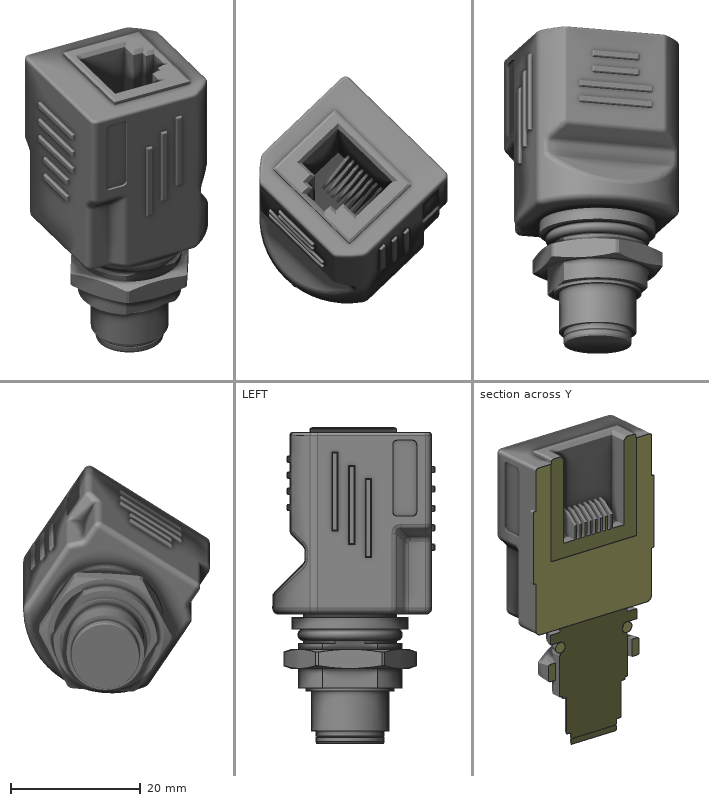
import cadquery as cq
import math


CLEARANCE = 0.5
SMALL = 0.05

HOUSING_WIDTH = 23.0
HOUSING_FRONT = -12.6
HOUSING_BOTTOM = 20.0
HOUSING_TOP = 48.1
BACK_RADIUS = 13.65
BACK_END = 11.95
BACK_FACE = 9.3
EDGE_FILLET = 1.0
TOP_FILLET = 0.5
SHOULDER_FILLET = 2.0
SHOULDER_HALF = HOUSING_WIDTH / 2
BACK_CENTRE = BACK_END - BACK_RADIUS
SHOULDER_Y = BACK_CENTRE + math.sqrt(BACK_RADIUS**2 - SHOULDER_HALF**2)

DIP_FLOOR = 7.0
DIP_FLOOR_BOTTOM = 28.05
DIP_FLOOR_TOP = 30.25

NOTCH_DEPTH = 1.75
NOTCH_BACK = -6.9
NOTCH_TOP = 33.45

LABEL_DEPTH = 0.4
LABEL_WIDTH = 3.7
LABEL_HEIGHT = 11.7
LABEL_RADIUS = 0.7
LABEL_Y = -8.45
LABEL_Z = 41.05

RIB_WIDTH = 1.0
RIB_HEIGHT = 0.5
RIB_CHAMFER = 0.15
RIB_ROOT = 0.25
FRONT_RIBS = [11.25, 11.25, 11.25, 7.65, 7.65]
FRONT_RIB_TOP_Z = 42.35
FRONT_RIB_SPAN = 12.0
FRONT_RIB_PITCH = FRONT_RIB_SPAN / (len(FRONT_RIBS) - 1)
BACK_RIBS = [7.55, 7.55, 11.8, 11.8]
BACK_RIB_TOP_Z = 43.95
BACK_RIB_PITCH = 2.5
SIDE_RIB = 12.2
SIDE_RIB_COUNT = 3
SIDE_RIB_TOP_Y = 2.35
SIDE_RIB_PITCH = 2.6
SIDE_RIB_TOP_Z = 38.95
SIDE_RIB_TOTAL_DROP = 4.05
SIDE_RIB_DROP = SIDE_RIB_TOTAL_DROP / (SIDE_RIB_COUNT - 1)

JACK_WIDTH = 16.8
JACK_FRONT = -7.2
JACK_BACK = 6.2
JACK_TOP = 48.85
JACK_BOTTOM = 31.75
JACK_CHAMFER_WIDTH = 0.365
JACK_CHAMFER_HEIGHT = 0.2
SOCKET_FLOOR = 34.2
SOCKET_FRONT = -5.5
SOCKET_STEPS = [(5.95, 2.35), (3.15, 3.95), (1.95, 5.32)]
MOUTH_WIDTH = 0.55
MOUTH_DEPTH = 0.6
CONTACT_COUNT = 8
CONTACT_SPAN = 7.15
CONTACT_PITCH = CONTACT_SPAN / (CONTACT_COUNT - 1)
CONTACT_WIDTH = 0.45
CONTACT_BACK = 0.3
CONTACT_BEND = -4.6
CONTACT_SHOULDER = -5.25
CONTACT_RISE = 3.9
CONTACT_TIP_RISE = 0.3

FLANGE_RADIUS = 9.0
FLANGE_TOP = 19.45
FLANGE_BOTTOM = 17.7
NECK_RADIUS = 7.2
THREAD_RADIUS = 8.0
THREAD_TOP = 15.5
THREAD_BOTTOM = 8.55
FLAT_HALF = 6.8
STEP_BOTTOM = 8.1
PLUG_RADIUS = 6.0
PLUG_BOTTOM = 1.95
TIP_RADIUS = 5.3
TIP_BOTTOM = 0.95
TIP_CHAMFER = 0.25

CARRIER_CHAMFER = 0.3
CARRIER_CHAMFER_WIDTH = 0.1
SEAL_SECTION_RADIUS = 0.9
SEAL_RADIUS = 7.2
SEAL_Z = FLANGE_BOTTOM - SEAL_SECTION_RADIUS
NUT_TOP = 14.55
NUT_BOTTOM = 11.6
NUT_FLATS = 18.05
NUT_CORNER_RADIUS = 10.25
NUT_CHAMFER = 0.45
NUT_FACE_RADIUS = 9.0


def cylinder(radius, bottom, top):
    return cq.Workplane("XY").workplane(offset=bottom).circle(radius).extrude(top - bottom)


def block(x_range, y_range, z_range):
    sizes = [high - low for low, high in (x_range, y_range, z_range)]
    return cq.Workplane("XY").box(*sizes, centered=False).translate((x_range[0], y_range[0], z_range[0]))


def finger_dip():
    """Everything behind the back face and its sunken finger dip."""
    beyond = BACK_END + CLEARANCE
    upper_run = BACK_FACE - DIP_FLOOR
    lower_run = beyond - DIP_FLOOR
    profile = [
        (beyond, HOUSING_TOP),
        (BACK_FACE, HOUSING_TOP),
        (BACK_FACE, DIP_FLOOR_TOP + upper_run),
        (DIP_FLOOR, DIP_FLOOR_TOP),
        (DIP_FLOOR, DIP_FLOOR_BOTTOM),
        (beyond, DIP_FLOOR_BOTTOM - lower_run),
    ]
    cut = cq.Workplane("YZ").polyline(profile).close().extrude(SHOULDER_HALF, both=True)
    bends = cq.selectors.BoxSelector(
        (-SMALL, DIP_FLOOR - SMALL, DIP_FLOOR_BOTTOM - SMALL),
        (SMALL, BACK_FACE + SMALL, HOUSING_TOP - SMALL),
    )
    return cut.edges("|X").edges(bends).fillet(EDGE_FILLET)


def corner_notch():
    """Notch for the -X front corner; its back wall and its roof slope at 45 degrees."""
    outer = -SHOULDER_HALF
    inner = outer + NOTCH_DEPTH
    plan = [
        (outer, NOTCH_BACK),
        (inner, NOTCH_BACK - NOTCH_DEPTH),
        (inner, HOUSING_FRONT),
        (outer, HOUSING_FRONT),
    ]
    elevation = [
        (outer, NOTCH_TOP),
        (inner, NOTCH_TOP - NOTCH_DEPTH),
        (inner, HOUSING_BOTTOM),
        (outer, HOUSING_BOTTOM),
    ]
    column = cq.Workplane("XY").workplane(offset=HOUSING_BOTTOM).polyline(plan).close()
    column = column.extrude(NOTCH_TOP - HOUSING_BOTTOM)
    beam = cq.Workplane("XZ").workplane(offset=-NOTCH_BACK).polyline(elevation).close()
    beam = beam.extrude(NOTCH_BACK - HOUSING_FRONT)
    return column.intersect(beam)


def housing_block():
    body = (
        cq.Workplane("XY")
        .workplane(offset=HOUSING_BOTTOM)
        .moveTo(-SHOULDER_HALF, HOUSING_FRONT)
        .lineTo(SHOULDER_HALF, HOUSING_FRONT)
        .lineTo(SHOULDER_HALF, SHOULDER_Y)
        .threePointArc((0, BACK_END), (-SHOULDER_HALF, SHOULDER_Y))
        .close()
        .extrude(HOUSING_TOP - HOUSING_BOTTOM)
    )
    return body.edges("|Z").edges(">Y").fillet(SHOULDER_FILLET)


def is_mitre(edge):
    box = edge.BoundingBox()
    return min(box.xlen, box.ylen, box.zlen) > NOTCH_DEPTH / 2


def faces_sideways(edge):
    return edge.BoundingBox().xlen < SMALL


def is_dip_outline(edge):
    """Edge between the curved back and the faces of the finger dip."""
    box = edge.BoundingBox()
    return box.ymin > DIP_FLOOR - SMALL and (box.zlen > box.xlen or edge.geomType() != "LINE")


def round_housing(body):
    """Fillet the notches first, then the front corners, the two ends and the finger dip."""
    notch_region = cq.selectors.BoxSelector(
        (-SHOULDER_HALF - SMALL, HOUSING_FRONT + SMALL, HOUSING_BOTTOM + SMALL),
        (SHOULDER_HALF + SMALL, NOTCH_BACK + SMALL, NOTCH_TOP + SMALL),
    )
    body = body.edges(notch_region).filter(is_mitre).fillet(EDGE_FILLET)
    body = body.edges(notch_region).filter(faces_sideways).fillet(EDGE_FILLET)
    body = body.faces("<Y").edges("not |X").fillet(EDGE_FILLET)
    body = body.faces("<Z").edges().fillet(EDGE_FILLET)
    body = body.faces(">Z").edges().fillet(TOP_FILLET)
    return body.edges().filter(is_dip_outline).fillet(EDGE_FILLET)


def rib(length, along, outward, centre):
    """Chamfered rib at a wall point, rooted slightly inside the wall."""
    plane = cq.Plane(origin=centre, xDir=along, normal=outward)
    bar = cq.Workplane(plane).workplane(offset=-RIB_ROOT).rect(length, RIB_WIDTH)
    bar = bar.extrude(RIB_ROOT + RIB_HEIGHT)
    return bar.faces(cq.selectors.DirectionMinMaxSelector(cq.Vector(outward))).edges().chamfer(RIB_CHAMFER)


def grip_ribs():
    ribs = []
    for row, length in enumerate(FRONT_RIBS):
        z = FRONT_RIB_TOP_Z - row * FRONT_RIB_PITCH
        ribs.append(rib(length, (1, 0, 0), (0, -1, 0), (0, HOUSING_FRONT, z)))
    for row, length in enumerate(BACK_RIBS):
        z = BACK_RIB_TOP_Z - row * BACK_RIB_PITCH
        ribs.append(rib(length, (1, 0, 0), (0, 1, 0), (0, BACK_FACE, z)))
    for side in (-1, 1):
        for row in range(SIDE_RIB_COUNT):
            y = SIDE_RIB_TOP_Y - row * SIDE_RIB_PITCH
            z = SIDE_RIB_TOP_Z - row * SIDE_RIB_DROP
            ribs.append(rib(SIDE_RIB, (0, 0, 1), (side, 0, 0), (side * SHOULDER_HALF, y, z)))
    return ribs


def label_recess(side):
    """Shallow rounded pocket in the -X or +X wall."""
    wall = cq.Workplane("YZ", origin=(side * SHOULDER_HALF, LABEL_Y, LABEL_Z))
    pocket = wall.rect(LABEL_WIDTH, LABEL_HEIGHT).extrude(LABEL_DEPTH, both=True)
    return pocket.edges("|X").fillet(LABEL_RADIUS)


def jack_block():
    return block(
        (-JACK_WIDTH / 2, JACK_WIDTH / 2),
        (JACK_FRONT, JACK_BACK),
        (JACK_BOTTOM, JACK_TOP),
    )


def make_housing():
    notch = corner_notch()
    body = housing_block().cut(finger_dip()).cut(notch).cut(notch.mirror("YZ"))
    body = round_housing(body)
    for bar in grip_ribs():
        body = body.union(bar)
    for side in (-1, 1):
        body = body.cut(label_recess(side))
    return body.cut(jack_block())


def socket_wire(z, margin):
    """Stepped outline of the plug opening, widened on every side by the margin."""
    corners = [(SOCKET_STEPS[0][0] + margin, SOCKET_FRONT - margin)]
    for step, (half_width, back) in enumerate(SOCKET_STEPS):
        if step > 0:
            corners.append((half_width + margin, SOCKET_STEPS[step - 1][1] + margin))
        corners.append((half_width + margin, back + margin))
    mirrored = [(-x, y) for x, y in reversed(corners)]
    return cq.Wire.makePolygon([cq.Vector(x, y, z) for x, y in corners + mirrored], close=True)


def socket_cut(bottom, top, flare):
    """Cut that widens by the flare on every side between its bottom and its top."""
    return cq.Workplane(cq.Solid.makeLoft([socket_wire(bottom, 0), socket_wire(top, flare)], True))


def contact_ribs():
    """Wedge contacts that fall from the front wall of the socket to its floor."""
    shoulder_z = SOCKET_FLOOR + CONTACT_RISE
    profile = [
        (SOCKET_FRONT, SOCKET_FLOOR),
        (SOCKET_FRONT, shoulder_z + CONTACT_TIP_RISE),
        (CONTACT_SHOULDER, shoulder_z + CONTACT_TIP_RISE / 2),
        (CONTACT_BEND, shoulder_z),
        (CONTACT_BACK, SOCKET_FLOOR),
    ]
    first_x = -CONTACT_SPAN / 2
    for index in range(CONTACT_COUNT):
        wedge = cq.Workplane("YZ").polyline(profile).close().extrude(CONTACT_WIDTH / 2, both=True)
        yield wedge.translate((first_x + index * CONTACT_PITCH, 0, 0))


def make_jack():
    body = jack_block().faces(">Z").edges().chamfer(JACK_CHAMFER_HEIGHT, JACK_CHAMFER_WIDTH)
    body = body.cut(socket_cut(SOCKET_FLOOR, JACK_TOP, 0))
    body = body.cut(socket_cut(JACK_TOP - MOUTH_DEPTH, JACK_TOP, MOUTH_WIDTH))
    for wedge in contact_ribs():
        body = body.union(wedge)
    return body


def make_seal():
    return cq.Workplane(cq.Solid.makeTorus(SEAL_RADIUS, SEAL_SECTION_RADIUS, cq.Vector(0, 0, SEAL_Z)))


def make_shell():
    """Turned shell with two flats on its thread and a groove for the seal."""
    thread = cylinder(THREAD_RADIUS, THREAD_BOTTOM, THREAD_TOP)
    thread = thread.union(cylinder(NECK_RADIUS, THREAD_TOP, FLANGE_BOTTOM))
    thread = thread.intersect(block(
        (-FLAT_HALF, FLAT_HALF),
        (-THREAD_RADIUS, THREAD_RADIUS),
        (THREAD_BOTTOM, FLANGE_BOTTOM),
    ))
    tip = cylinder(TIP_RADIUS, TIP_BOTTOM, PLUG_BOTTOM).faces("<Z").chamfer(TIP_CHAMFER)
    return (
        thread.union(cylinder(NECK_RADIUS, FLANGE_TOP, HOUSING_BOTTOM))
        .union(cylinder(FLANGE_RADIUS, FLANGE_BOTTOM, FLANGE_TOP))
        .union(cylinder(FLAT_HALF, STEP_BOTTOM, THREAD_BOTTOM))
        .union(cylinder(PLUG_RADIUS, PLUG_BOTTOM, STEP_BOTTOM))
        .union(tip)
        .cut(make_seal())
    )


def make_nut():
    """Hexagon nut, flats facing X, with turned corners and chamfered ends."""
    height = NUT_TOP - NUT_BOTTOM
    hexagon = cq.Workplane("XY").workplane(offset=NUT_BOTTOM)
    hexagon = hexagon.polygon(6, NUT_FLATS, circumscribed=True).extrude(height)
    turned = (
        cq.Workplane("XZ")
        .polyline([
            (0, NUT_BOTTOM),
            (NUT_FACE_RADIUS, NUT_BOTTOM),
            (NUT_CORNER_RADIUS, NUT_BOTTOM + NUT_CHAMFER),
            (NUT_CORNER_RADIUS, NUT_TOP - NUT_CHAMFER),
            (NUT_FACE_RADIUS, NUT_TOP),
            (0, NUT_TOP),
        ])
        .close()
        .revolve(360, (0, 0, 0), (0, 1, 0))
    )
    return hexagon.intersect(turned).cut(cylinder(THREAD_RADIUS, NUT_BOTTOM, NUT_TOP))


def make_carrier():
    """Contact carrier disc that closes the tip of the plug."""
    disc = cylinder(TIP_RADIUS, 0, TIP_BOTTOM)
    return disc.faces("<Z").chamfer(CARRIER_CHAMFER, CARRIER_CHAMFER_WIDTH)


housing = make_housing()
jack = make_jack()
shell = make_shell()
seal = make_seal()
nut = make_nut()
carrier = make_carrier()

result = cq.Compound.makeCompound([
    housing.val(),
    jack.val(),
    shell.val(),
    seal.val(),
    nut.val(),
    carrier.val(),
])